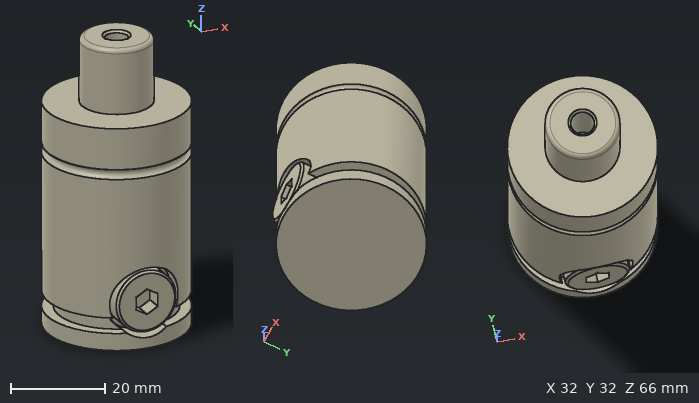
import cadquery as cq

total_height = 66.0
body_diameter = 32.0
body_height = 51.0
rod_diameter = 16.0
rod_fillet = 1.0

bore_diameter = 5.0
bore_depth = 13.2
bore_mouth_diameter = 6.1
drill_tip_ratio = 0.6

base_flange_height = 3.95
clamp_groove_width = 3.55
clamp_groove_diameter = 27.0

round_groove_height = 40.45
round_groove_width = 2.25
round_groove_depth = 1.0

screw_height = 10.5
pocket_diameter = 16.0
pocket_depth = 6.0
head_diameter = 14.0
head_recess = 0.45
head_chamfer = 0.5
hex_across_flats = 5.0
hex_depth = 4.0

body_radius = body_diameter / 2
bore_radius = bore_diameter / 2
pocket_floor = body_radius - pocket_depth
head_height = pocket_depth - head_recess


def make_turned_body():
    """Revolve the body, with both grooves, and the rod about Z."""
    rod_radius = rod_diameter / 2
    clamp_radius = clamp_groove_diameter / 2
    clamp_groove_top = base_flange_height + clamp_groove_width
    round_groove_bottom = round_groove_height - round_groove_width / 2
    round_groove_top = round_groove_height + round_groove_width / 2
    turned = (
        cq.Workplane("XZ")
        .lineTo(body_radius, 0)
        .lineTo(body_radius, base_flange_height)
        .lineTo(clamp_radius, base_flange_height)
        .lineTo(clamp_radius, clamp_groove_top)
        .lineTo(body_radius, clamp_groove_top)
        .lineTo(body_radius, round_groove_bottom)
        .threePointArc(
            (body_radius - round_groove_depth, round_groove_height),
            (body_radius, round_groove_top),
        )
        .lineTo(body_radius, body_height)
        .lineTo(rod_radius, body_height)
        .lineTo(rod_radius, total_height)
        .lineTo(0, total_height)
        .close()
        .revolve(360, (0, 0), (0, 1))
    )
    return turned.faces(">Z").edges().fillet(rod_fillet)


def make_rod_bore():
    """Revolve the volume removed from the rod end."""
    mouth_radius = bore_mouth_diameter / 2
    mouth_chamfer = mouth_radius - bore_radius
    bore_bottom = total_height - bore_depth
    return (
        cq.Workplane("XZ")
        .moveTo(0, total_height)
        .lineTo(mouth_radius, total_height)
        .lineTo(bore_radius, total_height - mouth_chamfer)
        .lineTo(bore_radius, bore_bottom)
        .lineTo(0, bore_bottom - bore_radius * drill_tip_ratio)
        .close()
        .revolve(360, (0, 0), (0, 1))
    )


def side_plane(distance):
    """Plane facing -Y, centred on the screw axis at a distance from the body axis."""
    return cq.Workplane("XZ", origin=(0, -distance, screw_height))


def make_screw_head():
    """Chamfered screw head standing on the pocket floor, with a hex socket."""
    head = side_plane(pocket_floor).circle(head_diameter / 2).extrude(head_height)
    head = head.faces("<Y").chamfer(head_chamfer)
    socket = (
        side_plane(pocket_floor + head_height)
        .polygon(6, hex_across_flats, circumscribed=True)
        .extrude(-hex_depth)
    )
    return head.cut(socket)


pocket = side_plane(pocket_floor).circle(pocket_diameter / 2).extrude(pocket_depth)

result = make_turned_body().cut(make_rod_bore()).cut(pocket).union(make_screw_head())